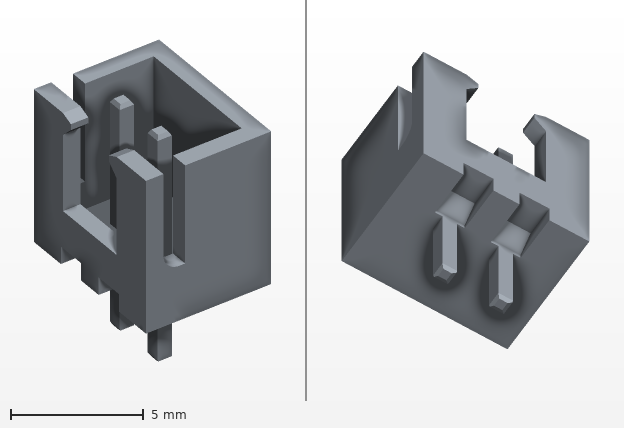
import cadquery as cq

WIDTH = 7.4
DEPTH = 5.75
TOTAL_HEIGHT = 10.4
PIN_TAIL = 3.4
HOUSING_HEIGHT = TOTAL_HEIGHT - PIN_TAIL
WALL = 0.8

OPENING_DEPTH = 4.49
SLOT_WIDTH = 1.0
SLOT_RADIUS = 0.74
WINDOW_WIDTH = 3.55
FLOOR_HEIGHT = 1.25

NOSE_REACH = 0.52
NOSE_LEAD_IN = 0.22
NOSE_FLAT = 0.27
NOSE_UNDERSIDE = 0.5

PIN_PITCH = 2.5
PIN_SIZE = 0.65
PIN_Y = 2.34
TIP_INSET = 0.1
TIP_LENGTH = 0.18

NOTCH_WIDTH = 1.33
NOTCH_FRONT_HEIGHT = 0.8
NOTCH_BACK_HEIGHT = 0.21
NOTCH_RAMP_LENGTH = 0.7
NOTCH_DEPTH = PIN_Y - PIN_SIZE / 2


def box(width, depth, height, y_front, z_bottom):
    """Box centred on x = 0, placed by its front face and base."""
    return cq.Workplane("XY").box(width, depth, height, centered=(True, False, False)).translate(
        (0, y_front, z_bottom)
    )


def housing_shell():
    cavity = box(WIDTH - 2 * WALL, DEPTH - 2 * WALL, HOUSING_HEIGHT - FLOOR_HEIGHT, WALL, FLOOR_HEIGHT)
    return box(WIDTH, DEPTH, HOUSING_HEIGHT, 0, 0).cut(cavity)


def side_slots():
    """Slot through both side walls behind the front wall, rounded at its front lower corner."""
    slot = box(WIDTH, SLOT_WIDTH, OPENING_DEPTH, WALL, HOUSING_HEIGHT - OPENING_DEPTH)
    return slot.edges("|X and <Y and <Z").fillet(SLOT_RADIUS)


def front_window():
    """Window through the front wall, narrowed by the snap noses near the rim."""
    edge_x = WINDOW_WIDTH / 2
    nose_x = edge_x - NOSE_REACH
    sill_z = HOUSING_HEIGHT - OPENING_DEPTH
    flat_top_z = HOUSING_HEIGHT - NOSE_LEAD_IN
    flat_bottom_z = flat_top_z - NOSE_FLAT
    right_half = [
        (0, sill_z),
        (edge_x, sill_z),
        (edge_x, flat_bottom_z - NOSE_UNDERSIDE),
        (nose_x, flat_bottom_z),
        (nose_x, flat_top_z),
        (edge_x, HOUSING_HEIGHT),
        (0, HOUSING_HEIGHT),
    ]
    half = cq.Workplane("XZ").polyline(right_half).close().extrude(-WALL)
    return half.union(half.mirror("YZ"))


def pin_notch(x):
    profile = [
        (0, 0),
        (NOTCH_DEPTH, 0),
        (NOTCH_DEPTH, NOTCH_BACK_HEIGHT),
        (NOTCH_DEPTH - NOTCH_RAMP_LENGTH, NOTCH_FRONT_HEIGHT),
        (0, NOTCH_FRONT_HEIGHT),
    ]
    notch = cq.Workplane("YZ").polyline(profile).close().extrude(NOTCH_WIDTH / 2, both=True)
    return notch.translate((x, 0, 0))


def pin(x):
    """Square pin from below the housing up to its rim, tapered at both ends."""
    bar = box(PIN_SIZE, PIN_SIZE, TOTAL_HEIGHT, PIN_Y - PIN_SIZE / 2, -PIN_TAIL)
    top_tapered = bar.faces(">Z").chamfer(TIP_LENGTH, TIP_INSET)
    return top_tapered.faces("<Z").chamfer(TIP_LENGTH, TIP_INSET).translate((x, 0, 0))


result = housing_shell().cut(side_slots()).cut(front_window())
for pin_x in (-PIN_PITCH / 2, PIN_PITCH / 2):
    result = result.cut(pin_notch(pin_x)).union(pin(pin_x))